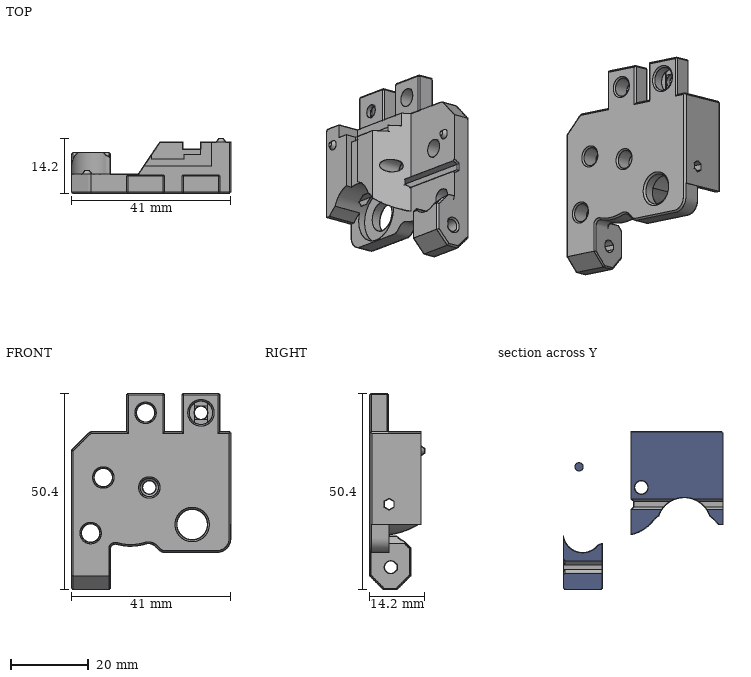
import cadquery as cq
import math

plate_width = 40.9
plate_thickness = 5.0
plate_top = 40.5
plate_bottom = 9.55
overall_height = 50.35
edge_chamfer = 0.45
corner_radius = 3.5
corner_cut = 4.75
corner_blend_drop = 0.4
corner_blend_length = 0.65

tab_width = 9.73
tab_pitch = 14.2
tab_start = 14.18
tab_thickness = 4.8
tab_hole_drop = 5.0
tab_hole_z = overall_height - tab_hole_drop
tab_chamfer = 0.35

select_margin = 0.1

foot_width = 10.0
foot_depth = 10.55
foot_height = 13.7
foot_lower_cut = 3.55
foot_upper_cut = 3.0
foot_end_chamfer = 0.35

block_back = 13.2
block_left_at_plate = 17.2
block_left_at_back = 22.7
block_right = 41.0
block_bottom = 16.7
block_arc_radius = 10.0
block_arc_end_z = 18.0
arch_top = 21.0
arch_right = 39.8

step_right = 36.0
step_front = 7.05
step_floor = 37.1
pocket_left = 20.5
pocket_front = 8.9
pocket_floor = 35.5
pocket_right = 28.95
slot_left = 28.62
slot_right = 33.15
slot_ledge_front = 10.05
slot_front = 11.4
roller_x = 15.2
roller_z = 23.85
edge_arc_radius = 12.75
inner_corner_radius = 1.3
hollow_x = 19.8
hollow_radius = 2.5
ramp_round_radius = 2.0

screw_diameter = 4.7
screw_rim_diameter = 5.5
clearance_diameter = 3.4
lower_screw = (4.95, 14.5)
upper_screw = (8.2, 28.75)
stepped_screw = (20.0, 26.2)
stepped_bore_depth = 4.5
shaft_hole = (31.0, 16.7)
shaft_diameter = 7.8
shaft_rim_diameter = 8.8
shaft_shoulder = 3.0
shaft_pocket_diameter = 13.8
head_bore_diameter = 6.0
head_bore_rim_diameter = 6.8
head_bore_depth = 3.0
bridge_layer = 0.25
screw_head_relief_radius = 5.0
relief_end_angle = 48.0
relief_roll_radius = 2.0

cross_hole_diameter = 3.2
cross_hole_rim_diameter = 4.1
cross_hole_y = 5.4
cross_hole_z = 5.75
cross_hole_roof = 1.65
hex_flats = 2.5
hex_rim_flats = 3.3
hex_z = 21.9

pip_base_diameter = 2.5
pip_tip_diameter = 1.1
pip_height = 0.97
pip_places = [(4.05, plate_thickness, 31.5), (38.4, block_back, 35.6)]


def box(x0, x1, y0, y1, z0, z1):
    """Axis-aligned box given by its limits."""
    return cq.Workplane("XY").box(x1 - x0, y1 - y0, z1 - z0, centered=False).translate((x0, y0, z0))


def cylinder_y(place, y0, y1, diameter):
    """Cylinder along +Y at an (x, z) place."""
    return cq.Workplane("XZ", origin=(place[0], y0, place[1])).circle(diameter / 2).extrude(y0 - y1)


def cone_y(place, y0, y1, diameter0, diameter1):
    """Frustum along +Y at an (x, z) place."""
    sketch = cq.Workplane("XZ", origin=(place[0], y0, place[1])).circle(diameter0 / 2)
    return sketch.workplane(offset=y0 - y1).circle(diameter1 / 2).loft(ruled=True)


def rimmed_hole(place, diameter, rim_diameter, depth):
    """Hole from the front face with a 45 degree rim."""
    rim_depth = (rim_diameter - diameter) / 2
    return cylinder_y(place, 0, depth, diameter).union(
        cone_y(place, 0, rim_depth, rim_diameter, diameter)
    )


def make_plate():
    """Flat plate with its two tabs and the wavy lower edge, chamfered along the front."""
    inner_x = foot_width + inner_corner_radius
    inner_reach = edge_arc_radius + inner_corner_radius
    inner_z = roller_z - math.sqrt(inner_reach**2 - (inner_x - roller_x) ** 2)
    hollow_reach = edge_arc_radius + hollow_radius
    hollow_z = roller_z - math.sqrt(hollow_reach**2 - (hollow_x - roller_x) ** 2)
    diagonal = math.sqrt(0.5)
    ramp_x = hollow_x + hollow_radius * diagonal
    ramp_z = hollow_z + hollow_radius * diagonal
    ramp_corner_x = ramp_x + ramp_z - plate_bottom
    ramp_trim = ramp_round_radius * math.tan(math.radians(45 / 2))

    inner_tangent = (
        roller_x + (inner_x - roller_x) * edge_arc_radius / inner_reach,
        roller_z + (inner_z - roller_z) * edge_arc_radius / inner_reach,
    )
    hollow_tangent = (
        roller_x + (hollow_x - roller_x) * edge_arc_radius / hollow_reach,
        roller_z + (hollow_z - roller_z) * edge_arc_radius / hollow_reach,
    )
    cut_x = corner_cut - corner_blend_drop
    corner_mid = corner_radius * (1 - diagonal)
    outline = (
        cq.Workplane("XZ")
        .moveTo(0, foot_lower_cut)
        .lineTo(foot_width, foot_lower_cut)
        .lineTo(foot_width, inner_z)
        .tangentArcPoint(inner_tangent, relative=False)
        .threePointArc((roller_x, roller_z - edge_arc_radius), hollow_tangent)
        .threePointArc((hollow_x, hollow_z + hollow_radius), (ramp_x, ramp_z))
        .lineTo(ramp_corner_x - ramp_trim * diagonal, plate_bottom + ramp_trim * diagonal)
        .tangentArcPoint((ramp_corner_x + ramp_trim, plate_bottom), relative=False)
        .lineTo(plate_width - corner_radius, plate_bottom)
        .threePointArc(
            (plate_width - corner_mid, plate_bottom + corner_mid),
            (plate_width, plate_bottom + corner_radius),
        )
        .lineTo(plate_width, plate_top)
    )
    for start in (tab_start + tab_pitch, tab_start):
        outline = (
            outline.lineTo(start + tab_width, plate_top)
            .lineTo(start + tab_width, overall_height)
            .lineTo(start, overall_height)
            .lineTo(start, plate_top)
        )
    plate = (
        outline.lineTo(cut_x + corner_blend_length, plate_top)
        .lineTo(cut_x, plate_top - corner_blend_drop)
        .lineTo(0, plate_top - corner_cut)
        .close()
        .extrude(-plate_thickness)
    )
    plate = plate.cut(box(0, plate_width, tab_thickness, plate_thickness, plate_top, overall_height))
    plate = plate.faces("<Y").edges().chamfer(edge_chamfer)
    plate = plate.faces(">Z").edges("|Y").chamfer(tab_chamfer)
    tab_back = cq.selectors.BoxSelector(
        (0, tab_thickness - select_margin, plate_top + select_margin),
        (plate_width, tab_thickness + select_margin, overall_height + select_margin),
    )
    return plate.edges(tab_back).chamfer(tab_chamfer)


def make_foot():
    """Octagonal foot: ends chamfered, top hollowed to clear the lower screw head."""
    foot = (
        cq.Workplane("YZ")
        .polyline(
            [
                (0, foot_lower_cut),
                (0, foot_height),
                (foot_depth - foot_upper_cut, foot_height),
                (foot_depth, foot_height - foot_upper_cut),
                (foot_depth, foot_lower_cut),
                (foot_depth - foot_lower_cut, 0),
                (foot_lower_cut, 0),
            ]
        )
        .close()
        .extrude(foot_width)
    )
    below_top = cq.selectors.BoxSelector(
        (-select_margin, -select_margin, -select_margin),
        (foot_width + select_margin, foot_depth + select_margin, foot_height - select_margin),
    )
    foot = foot.faces("<X").edges(below_top).chamfer(edge_chamfer)
    foot = foot.faces(">X").edges(below_top).chamfer(foot_end_chamfer)
    relief = cylinder_y(lower_screw, plate_thickness, foot_depth, 2 * screw_head_relief_radius)
    x, z = lower_screw
    slope = math.radians(relief_end_angle)
    roll_x = x + (screw_head_relief_radius + relief_roll_radius) * math.sin(slope)
    roll_z = z - (screw_head_relief_radius + relief_roll_radius) * math.cos(slope)
    tangent_x = x + screw_head_relief_radius * math.sin(slope)
    over_roll = box(tangent_x, foot_width, plate_thickness, foot_depth, roll_z, foot_height)
    roll = cylinder_y((roll_x, roll_z), plate_thickness, foot_depth, 2 * relief_roll_radius)
    return foot.cut(relief).cut(over_roll.cut(roll))


def make_block():
    """Raised block with a slanted left side, a rounded lower left and an arch over the shaft hole."""
    side_step = block_right - plate_width
    prism = (
        cq.Workplane("XY", origin=(0, 0, plate_bottom))
        .polyline(
            [
                (block_left_at_plate, plate_thickness),
                (block_left_at_back, block_back),
                (block_right, block_back),
                (block_right, edge_chamfer + side_step),
                (plate_width - edge_chamfer / 2, edge_chamfer / 2),
                (plate_width - edge_chamfer / 2, plate_thickness),
            ]
        )
        .close()
        .extrude(plate_top - plate_bottom)
    )
    arc_bottom = (roller_x, roller_z - block_arc_radius)
    arc_end_x = roller_x + math.sqrt(block_arc_radius**2 - (block_arc_end_z - roller_z) ** 2)
    rear_outline = (
        cq.Workplane("XZ")
        .moveTo(*arc_bottom)
        .radiusArc((arc_end_x, block_arc_end_z), -block_arc_radius)
        .threePointArc((shaft_hole[0], arch_top), (arch_right, block_bottom))
        .lineTo(block_right, block_bottom)
        .lineTo(block_right, plate_top)
        .lineTo(roller_x, plate_top)
        .close()
        .extrude(-block_back)
    )
    return prism.intersect(rear_outline)


def block_recesses():
    """Stepped recess in the top of the block and the slot through its back."""
    step = box(0, step_right, step_front, block_back, step_floor, plate_top)
    pocket = box(pocket_left, pocket_right, pocket_front, block_back, pocket_floor, step_floor)
    slot_ledge = box(slot_left, slot_right, slot_ledge_front, block_back, pocket_floor, step_floor)
    slot = box(slot_left, slot_right, slot_front, block_back, 0, plate_top)
    return step.union(pocket).union(slot_ledge).union(slot)


def funnel_hole(place):
    """Rimmed bore that narrows through a 45 degree cone to the clearance hole."""
    cone_end = stepped_bore_depth + (screw_diameter - clearance_diameter) / 2
    bore = rimmed_hole(place, screw_diameter, screw_rim_diameter, stepped_bore_depth)
    cone = cone_y(place, stepped_bore_depth, cone_end, screw_diameter, clearance_diameter)
    hole = cylinder_y(place, 0, block_back, clearance_diameter)
    return bore.union(cone).union(hole)


def head_bore(place):
    """Counterbore whose floor steps down to the small hole through a slot and a square."""
    x, z = place
    half = clearance_diameter / 2
    slot_end = head_bore_depth + bridge_layer
    square_end = slot_end + bridge_layer
    bore = rimmed_hole(place, head_bore_diameter, head_bore_rim_diameter, head_bore_depth)
    slot = box(x - half, x + half, 0, slot_end, z - head_bore_diameter, z + head_bore_diameter)
    slot = slot.intersect(cylinder_y(place, 0, slot_end, head_bore_diameter))
    square = box(x - half, x + half, 0, square_end, z - half, z + half)
    hole = cylinder_y(place, 0, plate_thickness, clearance_diameter)
    return bore.union(slot).union(square).union(hole)


def cross_hole():
    """Hole along X through the foot with 45 degree flanks under a flat roof, rim at the left end."""

    def roofed_circle(radius, length):
        tangent = radius * math.sqrt(0.5)
        roof_half = 2 * tangent - cross_hole_roof
        plane = cq.Workplane("YZ", origin=(0, cross_hole_y, cross_hole_z))
        roof = plane.polyline(
            [
                (tangent, -tangent),
                (cross_hole_roof, -roof_half),
                (cross_hole_roof, roof_half),
                (tangent, tangent),
                (0, 0),
            ]
        )
        return plane.circle(radius).extrude(length).union(roof.close().extrude(length))

    radius = cross_hole_diameter / 2
    rim_depth = (cross_hole_rim_diameter - cross_hole_diameter) / 2
    rim = (
        cq.Workplane("YZ", origin=(0, cross_hole_y, cross_hole_z))
        .circle(cross_hole_rim_diameter / 2)
        .workplane(offset=rim_depth)
        .circle(radius)
        .loft(ruled=True)
    )
    rim = rim.cut(box(0, rim_depth, cross_hole_y + cross_hole_roof, foot_depth, 0, foot_height))
    return roofed_circle(radius, foot_width).union(rim)


def hex_bore():
    """Hexagonal bore along X at the back of the plate, countersunk at the left edge."""
    across_corners = 1 / math.cos(math.radians(30))
    rim_depth = (hex_rim_flats - hex_flats) / 2
    plane = cq.Workplane("YZ", origin=(0, plate_thickness, hex_z)).transformed(rotate=(0, 0, 30))
    bore = plane.polygon(6, hex_flats * across_corners).extrude(block_right)
    rim = (
        plane.polygon(6, hex_rim_flats * across_corners)
        .workplane(offset=rim_depth)
        .polygon(6, hex_flats * across_corners)
        .loft(ruled=True)
    )
    return bore.union(rim)


def top_right_cut():
    """Wedge that bevels the top right edge along Y."""
    return (
        cq.Workplane("XZ")
        .polyline(
            [
                (block_right - edge_chamfer, plate_top),
                (block_right, plate_top),
                (block_right, plate_top - edge_chamfer),
            ]
        )
        .close()
        .extrude(-block_back)
    )


result = make_plate().union(make_foot()).union(make_block())
result = result.cut(block_recesses()).cut(top_right_cut())

left_tab_hole = (tab_start + tab_width / 2, tab_hole_z)
right_tab_hole = (left_tab_hole[0] + tab_pitch, tab_hole_z)
for screw_place in (lower_screw, upper_screw, left_tab_hole):
    result = result.cut(rimmed_hole(screw_place, screw_diameter, screw_rim_diameter, plate_thickness))
result = result.cut(funnel_hole(stepped_screw))
result = result.cut(rimmed_hole(shaft_hole, shaft_diameter, shaft_rim_diameter, shaft_shoulder))
result = result.cut(
    cylinder_y(shaft_hole, shaft_shoulder, block_back, shaft_pocket_diameter)
)
result = result.cut(head_bore(right_tab_hole)).cut(cross_hole()).cut(hex_bore())

for pip_x, pip_y, pip_z in pip_places:
    pip = cone_y((pip_x, pip_z), pip_y, pip_y + pip_height, pip_base_diameter, pip_tip_diameter)
    result = result.union(pip)